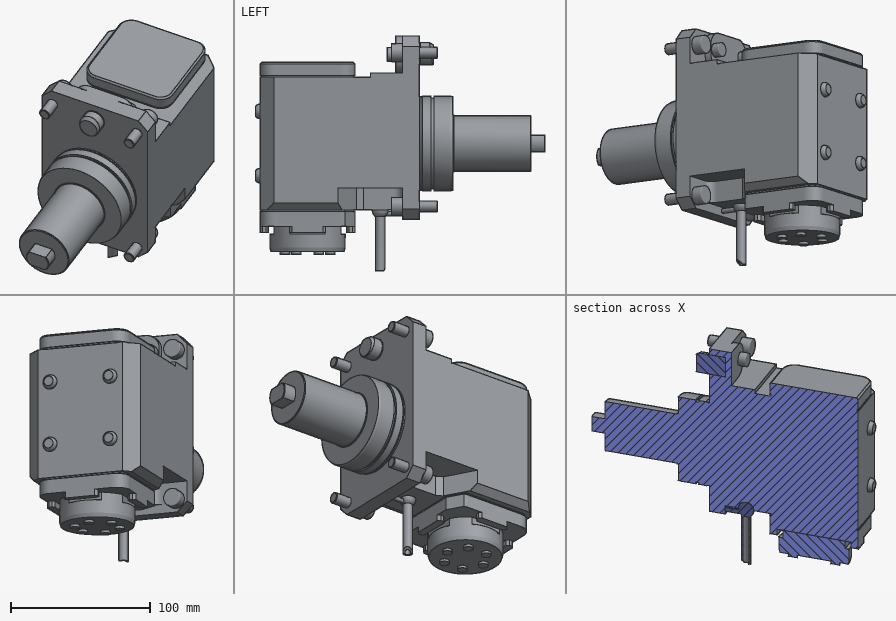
import cadquery as cq
import math


width = 85.0
half_width = width / 2
plate_thickness = 12.0
plate_top = 77.0
plate_bottom = -54.2
plate_corner = 7.5
housing_back = 114.0
housing_half_height = 47.5
back_corner = 10.0
bottom_edge_chamfer = 5.0
step_height = 3.0
step_back = 35.0

relief_top = -32.0
relief_angle = math.radians(30)
relief_x = 21.3
relief_corner_y = 45.1
neck_half_width = 17.0
neck_start_y = 40.0
neck_fillet = 5.8

pad_size = 68.0
pad_y = housing_back - pad_size / 2
pad_radius = 10.0
pad_gap = 1.2
pad_gap_inset = 0.8
cover_top = 58.2
cover_chamfer = 1.3
flange_bottom = -59.2
tab_length = 26.0
tab_thickness = 6.0
tab_height = 4.5
tab_chamfer = 1.8

ring_diameter = 68.0
ring_neck_diameter = 67.0
ring_neck_length = 1.2
ring_neck_cone_end = 2.4
ring_length = 24.0
groove_diameter = 65.2
groove_start = 8.2
groove_end = 10.4
ring_edge_radial = 0.5
ring_edge_axial = 1.8
collar_diameter = 41.0
collar_length = 0.7
shank_diameter = 40.0
shank_end = 80.0
shank_chamfer = 0.6
tang_diameter = 18.0
tang_thickness = 12.0
tang_end = 90.0
tang_chamfer = 0.5

button_spacing = 46.0
button_diameter = 10.5
button_flat_diameter = 7.0
button_height = 3.3
button_mid_diameter = 9.45
button_mid_height = 2.0

bolt_x = 34.0
bolt_levels = (65.0, -45.0)
bolt_diameter = 8.0
bolt_tip = 13.0
bolt_tip_chamfer = 0.5
bolt_head_diameter = 13.0
bolt_head_height = 8.0
bolt_head_fillet = 0.5

pin_z = 64.3
pin_diameter = 16.0
pin_seat_diameter = 15.2
pin_neck_length = 0.8
pin_end = 10.2
pin_tip_diameter = 13.8
pin_tip_offset = 0.7
pin_tip_taper = 0.6
boss_width = 46.2
boss_bottom = housing_half_height + step_height
boss_corner = 10.3
boss_height = 5.0
boss_back = plate_thickness + boss_height
screw_x = 17.2
screw_z = (plate_top + boss_bottom) / 2
screw_diameter = 6.0
screw_length = 14.0
screw_head_diameter = 10.0
screw_head_height = 6.0
screw_head_fillet = 0.4

nozzle_y = 28.0
ball_diameter = 11.57
ball_z = -47.7
pipe_diameter = 7.0
pipe_bore = 4.0
pipe_bottom = -91.2
pipe_bevel_height = 3.5
pipe_bevel_heading = 45.0
arm_diameter = 3.4
arm_z = -50.2

nose_diameter = 54.0
nose_flats = 48.0
nose_bottom = -77.3
nose_ledge = -64.8
nose_edge_axial = 2.8
nose_edge_radial = 0.8
nose_screw_circle = 32.4
nose_screw_diameter = 7.0
nose_screw_height = 2.0
nose_screw_count = 6


def box(x_range, y_range, z_range):
    """Box between the given limits."""
    size = [high - low for low, high in (x_range, y_range, z_range)]
    corner = (x_range[0], y_range[0], z_range[0])
    return cq.Workplane("XY").box(*size, centered=False).translate(corner)


def rod(diameter, y_start, y_end, x=0.0, z=0.0):
    """Cylinder along Y from y_start to y_end."""
    bar = cq.Workplane("XZ").circle(diameter / 2).extrude(y_start - y_end)
    return bar.translate((x, y_start, z))


def pad(size, radius, bottom, top):
    """Square plate with round corners, centred on the nose axis."""
    plate = cq.Workplane("XY").rect(size, size).extrude(top - bottom)
    return plate.edges("|Z").fillet(radius).translate((0, pad_y, bottom))


def gap_pad(bottom, top):
    """Narrower pad that leaves a groove between the housing and a full pad."""
    return pad(pad_size - 2 * pad_gap_inset, pad_radius - pad_gap_inset, bottom, top)


def make_block():
    """Housing block with chamfered back corners and the low step behind the plate."""
    block = box(
        (-half_width, half_width),
        (0, housing_back),
        (-housing_half_height, housing_half_height),
    )
    block = block.edges("|Z and >Y").chamfer(back_corner)
    block = block.edges("<Z and |Y").chamfer(bottom_edge_chamfer)
    step_top = housing_half_height + step_height
    step = box((-half_width, half_width), (0, step_back), (0, step_top))
    return block.union(step)


def make_plate():
    """Mounting plate with four chamfered corners."""
    plate = box((-half_width, half_width), (0, plate_thickness), (plate_bottom, plate_top))
    return plate.edges("|Y").chamfer(plate_corner)


def make_cover():
    """Chamfered square cover on top of the housing."""
    cover_bottom = housing_half_height + pad_gap
    cover = pad(pad_size, pad_radius, cover_bottom, cover_top).faces(">Z").chamfer(cover_chamfer)
    return cover.union(gap_pad(housing_half_height, cover_bottom))


def make_relief(side):
    """Cutter for one lower front corner; side is -1 or 1."""
    slope = math.tan(relief_angle)
    front_y = housing_back - pad_size
    outer_x = half_width + 1
    outer_y = front_y + (outer_x - relief_x) * slope
    corner_x = relief_x - (front_y - relief_corner_y) / slope
    arc_x = neck_half_width + neck_fillet * (1 - math.sqrt(0.5))
    arc_y = plate_thickness + neck_fillet * (1 - math.sqrt(0.5))
    depth = relief_top - flange_bottom
    return (
        cq.Workplane("XY", origin=(0, 0, flange_bottom))
        .moveTo(side * outer_x, outer_y)
        .lineTo(side * corner_x, relief_corner_y)
        .lineTo(side * neck_half_width, neck_start_y)
        .lineTo(side * neck_half_width, plate_thickness + neck_fillet)
        .threePointArc(
            (side * arc_x, arc_y),
            (side * (neck_half_width + neck_fillet), plate_thickness),
        )
        .lineTo(side * outer_x, plate_thickness)
        .close()
        .extrude(depth)
    )


def make_flange():
    """Square flange under the housing with one hanging tab at the middle of each side."""
    flange_top = -housing_half_height - pad_gap
    flange = pad(pad_size, pad_radius, flange_bottom, flange_top)
    gap = gap_pad(flange_top, -housing_half_height)
    for side in (-1, 1):
        gap_relief = make_relief(side).translate((0, pad_gap_inset / math.cos(relief_angle), 0))
        gap = gap.cut(gap_relief)
    flange = flange.union(gap)
    tab = cq.Workplane("XY").box(tab_length, tab_thickness, tab_height).edges("|Z").chamfer(tab_chamfer)
    tab = tab.translate((0, (pad_size - tab_thickness) / 2, -tab_height / 2))
    for side in range(4):
        turned = tab.rotate((0, 0, 0), (0, 0, 1), 90 * side)
        flange = flange.union(turned.translate((0, pad_y, flange_bottom)))
    return flange


def make_pin_boss():
    """Raised boss with round corners on the back of the plate, behind the pin."""
    half_boss = boss_width / 2
    boss = box((-half_boss, half_boss), (plate_thickness, boss_back), (boss_bottom, plate_top))
    return boss.edges("|Y").fillet(boss_corner)


def make_shank():
    """Locating ring with its groove, the shank and the flattened drive tang."""
    ring_radius = ring_diameter / 2
    shank_radius = shank_diameter / 2
    profile = [
        (0, 0),
        (ring_neck_diameter / 2, 0),
        (ring_neck_diameter / 2, -ring_neck_length),
        (ring_radius, -ring_neck_cone_end),
        (ring_radius, -groove_start),
        (groove_diameter / 2, -groove_start),
        (groove_diameter / 2, -groove_end),
        (ring_radius, -groove_end),
        (ring_radius, -ring_length + ring_edge_axial),
        (ring_radius - ring_edge_radial, -ring_length),
        (collar_diameter / 2, -ring_length),
        (collar_diameter / 2, -ring_length - collar_length),
        (shank_radius, -ring_length - collar_length),
        (shank_radius, -shank_end + shank_chamfer),
        (shank_radius - shank_chamfer, -shank_end),
        (0, -shank_end),
    ]
    shank = cq.Workplane("XY").polyline(profile).close().revolve(360, (0, 0, 0), (0, 1, 0))
    tang = rod(tang_diameter, -tang_end, -shank_end).faces("<Y").chamfer(tang_chamfer)
    half_tang = tang_thickness / 2
    flats = box((-tang_diameter, tang_diameter), (-tang_end, -shank_end), (-half_tang, half_tang))
    return shank.union(tang.intersect(flats))


def make_button():
    """Domed button head standing on the back wall."""
    base_radius = button_diameter / 2
    flat_radius = button_flat_diameter / 2
    middle = (button_mid_diameter / 2, button_mid_height)
    dome = (
        cq.Workplane("XY")
        .lineTo(base_radius, 0)
        .threePointArc(middle, (flat_radius, button_height))
        .lineTo(0, button_height)
        .close()
        .revolve(360, (0, 0, 0), (0, 1, 0))
    )
    return dome.translate((0, housing_back, 0))


def make_bolt(x, z):
    """Mounting bolt through the plate, head behind it."""
    head_back = plate_thickness + bolt_head_height
    head = rod(bolt_head_diameter, plate_thickness, head_back).faces(">Y").edges().fillet(bolt_head_fillet)
    stem = rod(bolt_diameter, -bolt_tip, plate_thickness).faces("<Y").chamfer(bolt_tip_chamfer)
    return head.union(stem).translate((x, 0, z))


def make_screw(x):
    """Clamping screw with its head on the boss behind the pin."""
    head = rod(screw_head_diameter, boss_back, boss_back + screw_head_height)
    head = head.faces(">Y").edges().fillet(screw_head_fillet)
    stem = rod(screw_diameter, boss_back - screw_length, boss_back)
    return head.union(stem).translate((x, 0, screw_z))


def make_pin():
    """Eccentric pin: seat in the plate and a wider head whose tip is trimmed by an offset cone."""
    seat = rod(pin_seat_diameter, -pin_neck_length, plate_thickness)
    head = rod(pin_diameter, -pin_end, -pin_neck_length)
    tip_radius = pin_tip_diameter / 2
    cone_length = pin_end - pin_neck_length
    cone_base_radius = tip_radius + pin_tip_taper * cone_length
    cone = cq.Solid.makeCone(
        tip_radius,
        cone_base_radius,
        cone_length,
        cq.Vector(0, -pin_end, -pin_tip_offset),
        cq.Vector(0, 1, 0),
    )
    return seat.union(head.intersect(cq.Workplane(cone))).translate((0, 0, pin_z))


def make_nozzle():
    """Swivel ball with its feed arm and a downward pipe with a bevelled end."""
    ball = cq.Workplane("XY").sphere(ball_diameter / 2).translate((0, nozzle_y, ball_z))
    pipe = cq.Workplane("XY").circle(pipe_diameter / 2).extrude(ball_z - pipe_bottom)
    bore = cq.Workplane("XY").circle(pipe_bore / 2).extrude(ball_z - ball_diameter / 2 - pipe_bottom)
    radius = pipe_diameter / 2
    bevel = (
        cq.Workplane("XZ")
        .moveTo(radius - pipe_bevel_height, 0)
        .lineTo(radius, 0)
        .lineTo(radius, pipe_bevel_height)
        .close()
        .extrude(radius, both=True)
        .rotate((0, 0, 0), (0, 0, 1), -pipe_bevel_heading)
    )
    pipe = pipe.cut(bevel).translate((0, nozzle_y, pipe_bottom))
    arm = rod(arm_diameter, plate_thickness, nozzle_y, z=arm_z)
    return ball.union(pipe).union(arm).cut(bore.translate((0, nozzle_y, pipe_bottom)))


def make_nose():
    """Spindle nose with four flats at the top and a ring of screw heads underneath."""
    radius = nose_diameter / 2
    profile = [
        (0, flange_bottom),
        (radius, flange_bottom),
        (radius, nose_bottom + nose_edge_axial),
        (radius - nose_edge_radial, nose_bottom),
        (0, nose_bottom),
    ]
    nose = cq.Workplane("XZ").polyline(profile).close().revolve(360, (0, 0, 0), (0, 1, 0))
    for side in range(4):
        flat = box((nose_flats / 2, radius), (-radius, radius), (nose_ledge, flange_bottom))
        nose = nose.cut(flat.rotate((0, 0, 0), (0, 0, 1), 90 * side))
    heads = (
        cq.Workplane("XY", origin=(0, 0, nose_bottom - nose_screw_height))
        .polarArray(nose_screw_circle / 2, 90, 360, nose_screw_count)
        .circle(nose_screw_diameter / 2)
        .extrude(nose_screw_height)
    )
    return nose.union(heads).translate((0, pad_y, 0))


bolts = [make_bolt(side * bolt_x, level) for side in (-1, 1) for level in bolt_levels]
screws = [make_screw(side * screw_x) for side in (-1, 1)]
pin = make_pin()
nozzle = make_nozzle()
nose = make_nose()

housing = make_block().union(make_cover()).union(make_flange())
for side in (-1, 1):
    housing = housing.cut(make_relief(side))
housing = housing.union(make_plate()).union(make_pin_boss()).union(make_shank())
for side in (-1, 1):
    for level in (-1, 1):
        place = (side * button_spacing / 2, 0, level * button_spacing / 2)
        housing = housing.union(make_button().translate(place))
for part in [*bolts, *screws, pin, nozzle]:
    housing = housing.cut(part)

bodies = [housing, *bolts, *screws, pin, nozzle, nose]
result = cq.Compound.makeCompound([body.solids().val() for body in bodies])